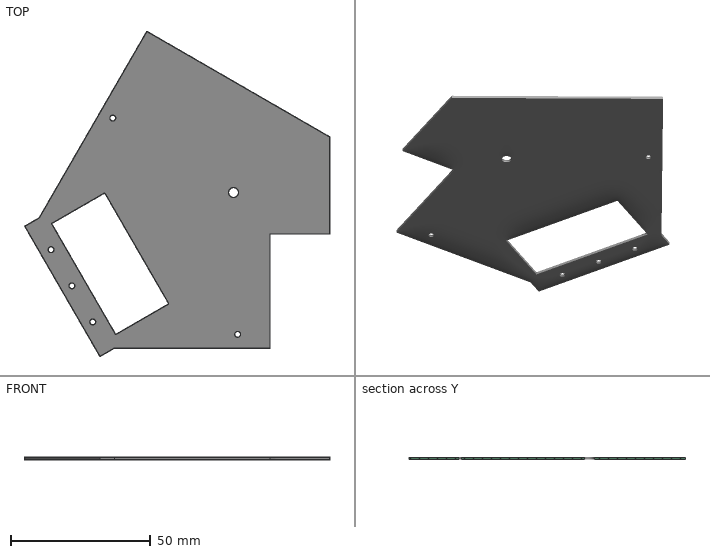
import cadquery as cq
import math

THICKNESS = 1.0
AXIS_ANGLE = 30.0

TIP_EDGE = 76.0
TIP_HALF_ANGLE = 60.0
TAB_WIDTH = 54.145
TAB_DEPTH = 6.0

NOTCH_ON_TIP_EDGE = 41.0
NOTCH_ON_SIDE_EDGE = 21.5

WINDOW_DEPTH = 22.0
WINDOW_WIDTH = 46.0
WINDOW_OFFSET = 8.9

TAB_HOLE_DIAMETER = 2.0
TAB_HOLE_OFFSET = 4.0
TAB_HOLE_SPACING = 15.0
SIDE_HOLE_DIAMETER = 2.0
SIDE_HOLE_OFFSET = 46.9
SIDE_HOLE_SPACING = 89.8
MAIN_HOLE_DIAMETER = 3.5
MAIN_HOLE_FROM_TIP = 40.0

tip_angle = math.radians(TIP_HALF_ANGLE)
TIP_STEP = (-math.cos(tip_angle), -math.sin(tip_angle))
SIDE_STEP = (-math.sin(tip_angle), math.cos(tip_angle))

side_corner_y = TIP_EDGE * math.sin(tip_angle)
side_edge = (side_corner_y - TAB_WIDTH / 2) / math.cos(tip_angle)
side_corner_x = TAB_DEPTH + side_edge * math.sin(tip_angle)
tip_x = side_corner_x + TIP_EDGE * math.cos(tip_angle)


def move(point, step, distance):
    """Point reached by going a distance along a unit step."""
    return (point[0] + distance * step[0], point[1] + distance * step[1])


def plate_blank():
    """Tabbed kite with one side corner notched out."""
    half_tab = TAB_WIDTH / 2
    tip = (tip_x, 0)
    lower_corner = (side_corner_x, -side_corner_y)
    notch_start = move(tip, TIP_STEP, TIP_EDGE - NOTCH_ON_TIP_EDGE)
    notch_inner = move(notch_start, SIDE_STEP, NOTCH_ON_SIDE_EDGE)
    notch_end = move(lower_corner, SIDE_STEP, NOTCH_ON_SIDE_EDGE)
    outline = [
        (0, half_tab),
        (TAB_DEPTH, half_tab),
        (side_corner_x, side_corner_y),
        tip,
        notch_start,
        notch_inner,
        notch_end,
        (TAB_DEPTH, -half_tab),
        (0, -half_tab),
    ]
    return cq.Workplane("XY").polyline(outline).close().extrude(THICKNESS)


def window_cutter():
    """Block that opens the rectangular window."""
    window_center_x = WINDOW_OFFSET + WINDOW_DEPTH / 2
    return (
        cq.Workplane("XY")
        .center(window_center_x, 0)
        .rect(WINDOW_DEPTH, WINDOW_WIDTH)
        .extrude(THICKNESS)
    )


def hole_cutter(points, diameter):
    """Cylinders for through holes of one diameter."""
    return cq.Workplane("XY").pushPoints(points).circle(diameter / 2).extrude(THICKNESS)


tab_holes = [(TAB_HOLE_OFFSET, row * TAB_HOLE_SPACING) for row in (-1, 0, 1)]
side_holes = [(SIDE_HOLE_OFFSET, side * SIDE_HOLE_SPACING / 2) for side in (-1, 1)]
main_hole = [(tip_x - MAIN_HOLE_FROM_TIP, 0)]

plate = plate_blank().cut(window_cutter())
plate = plate.cut(hole_cutter(tab_holes, TAB_HOLE_DIAMETER))
plate = plate.cut(hole_cutter(side_holes, SIDE_HOLE_DIAMETER))
plate = plate.cut(hole_cutter(main_hole, MAIN_HOLE_DIAMETER))

result = plate.rotate((0, 0, 0), (0, 0, 1), AXIS_ANGLE)